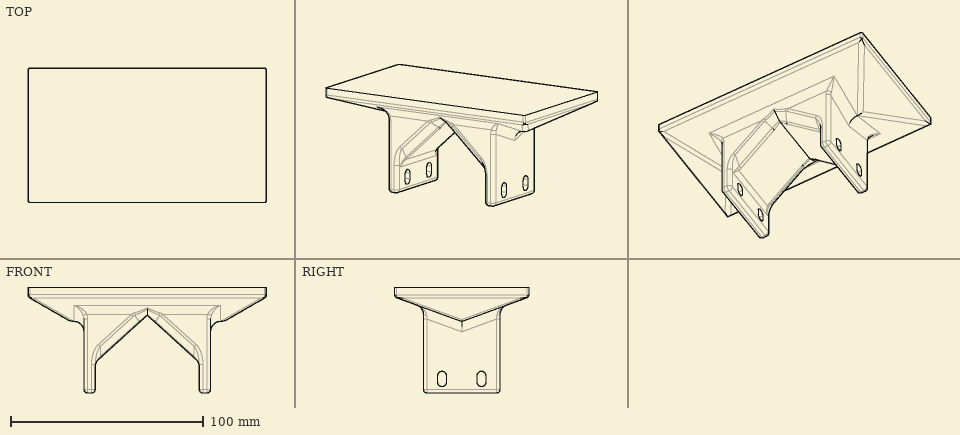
import cadquery as cq
import math

plate_length = 124.0
plate_width = 70.0
rim_thickness = 5.0
total_height = 55.0
corner_radius = 1.0
rim_radius = 2.0
hip_radius = 5.0
side_slope = math.radians(20.0)
end_slope = math.radians(30.0)

leg_span = 66.0
leg_width = 40.0
leg_thickness = 6.0
root_radius = 5.0
edge_radius = 2.0

arch_spring_z = 16.0
arch_peak_z = 40.5
arch_chamfer = 5.0
arch_root_radius = 5.0
chamfer_peak_depth = 6.0
chamfer_peak_rise = 3.5
chamfer_bend_inset = 4.0
cutter_overshoot = 1.6
cutter_bottom = -5.0

slot_spacing = 20.5
slot_width = 4.6
slot_length = 7.8
slot_z = 7.4

tolerance = 0.1
slanted = 0.1
upright = 0.9

rim_z = total_height - rim_thickness
ridge_z = rim_z - plate_width / 2 * math.tan(side_slope)

leg_inner_x = -(leg_span / 2 - leg_thickness)
leg_face_y = -leg_width / 2
chamfer_y = leg_face_y + arch_chamfer
arch_pitch = (arch_peak_z - arch_spring_z) / -leg_inner_x
chamfer_rise = arch_chamfer * math.hypot(1, arch_pitch)

root_tangent_length = root_radius * math.tan((math.pi / 2 - side_slope) / 2)
face_top_z = rim_z - (plate_width / 2 + leg_face_y) * math.tan(side_slope) - root_tangent_length


def select_edges(part, test):
    """Edges whose centre and direction at mid-length satisfy the test."""
    edges = part.edges().vals()
    return part.newObject([e for e in edges if test(e.Center(), e.tangentAt(0.5))])


def gable_prism(plane, half_span, slope, half_length):
    """Prism whose underside is an upside-down gable."""
    return (
        cq.Workplane(plane)
        .polyline([
            (-half_span, total_height),
            (-half_span, rim_z),
            (0, rim_z - half_span * math.tan(slope)),
            (half_span, rim_z),
            (half_span, total_height),
        ])
        .close()
        .extrude(half_length, both=True)
    )


def round_eaves(prism):
    """Round the long edges where the upright sides meet the sloping underside."""

    def is_eave(centre, along):
        return abs(centre.z - rim_z) < tolerance and abs(along.z) < slanted

    return select_edges(prism, is_eave).fillet(rim_radius)


def make_plate():
    """Flat plate whose underside is an upside-down hipped roof."""
    slab = (
        cq.Workplane("XY", origin=(0, 0, ridge_z))
        .rect(plate_length, plate_width)
        .extrude(total_height - ridge_z)
        .edges("|Z")
        .fillet(corner_radius)
    )
    side_gable = gable_prism("YZ", plate_width / 2, side_slope, plate_length)
    end_gable = gable_prism("XZ", plate_length / 2, end_slope, plate_width)
    plate = slab.intersect(side_gable).intersect(end_gable)

    def is_hip(centre, along):
        runs_diagonally = min(abs(along.x), abs(along.y), abs(along.z)) > slanted
        return runs_diagonally and centre.z < rim_z - tolerance

    plate = select_edges(plate, is_hip).fillet(hip_radius)
    return plate.intersect(round_eaves(side_gable)).intersect(round_eaves(end_gable))


def add_leg_block(plate):
    """Block under the plate that the legs are cut from, blended into the roof."""
    block = (
        cq.Workplane("XY")
        .rect(leg_span, leg_width)
        .extrude(rim_z)
    )

    def is_root(centre, along):
        across_x = abs(centre.x) / (leg_span / 2)
        across_y = abs(centre.y) / (leg_width / 2)
        on_block_side = abs(max(across_x, across_y) - 1) < tolerance / leg_span
        return on_block_side and abs(along.z) < upright and ridge_z < centre.z < rim_z - tolerance

    part = select_edges(plate.union(block), is_root).fillet(root_radius)

    def is_corner(centre, along):
        return abs(along.z) > upright and centre.z < ridge_z

    return select_edges(part, is_corner).fillet(edge_radius)


def keep_quarter(part):
    """The quarter of the part at negative X and negative Y."""
    reach = plate_length
    quadrant = cq.Workplane("XY").box(reach, reach, reach, centered=False).translate((-reach, -reach, 0))
    return part.intersect(quadrant)


def flare_station(inner, outer):
    """Upright section from the arch edge out past the chamfer edge, open to below the legs."""
    start = cq.Vector(*inner)
    end = start + (cq.Vector(*outer) - start) * cutter_overshoot
    corners = [start, end, cq.Vector(end.x, end.y, cutter_bottom), cq.Vector(start.x, start.y, cutter_bottom)]
    return cq.Wire.makePolygon(corners, close=True)


def make_arch_cutter():
    """Quarter of the pointed arch, with its chamfered mouth and rounded springing."""
    arch = (
        cq.Workplane("XZ")
        .polyline([
            (leg_inner_x, cutter_bottom),
            (leg_inner_x, arch_spring_z),
            (0, arch_peak_z),
            (0, cutter_bottom),
        ])
        .close()
        .extrude(-chamfer_y)
    )
    bend_inner_z = arch_peak_z - chamfer_bend_inset * arch_pitch
    bend_outer_x = (face_top_z - chamfer_rise - arch_peak_z) / arch_pitch
    springing = flare_station(
        (leg_inner_x, chamfer_y, arch_spring_z),
        (leg_inner_x, leg_face_y, arch_spring_z + chamfer_rise),
    )
    bend = flare_station(
        (-chamfer_bend_inset, chamfer_y, bend_inner_z),
        (bend_outer_x, leg_face_y, face_top_z),
    )
    peak = flare_station(
        (0, chamfer_y, arch_peak_z),
        (0, chamfer_y - chamfer_peak_depth, arch_peak_z + chamfer_peak_rise),
    )
    cutter = arch
    for first, second in ((springing, bend), (bend, peak)):
        cutter = cutter.union(cq.Workplane(cq.Solid.makeLoft([first, second], True)))

    def is_springing(centre, along):
        is_upright = abs(along.z) > upright
        return abs(centre.x - leg_inner_x) < tolerance and centre.z > arch_spring_z / 2 and not is_upright

    return select_edges(cutter, is_springing).fillet(arch_root_radius)


def round_arch_edges(quarter):
    """Round both edges of the arch chamfer and the inner upright edge of the leg."""

    def is_arch_edge(centre, along):
        if not leg_inner_x - tolerance < centre.x < -tolerance:
            return False
        on_leg_face = centre.y < leg_face_y + tolerance and abs(along.z) > slanted
        on_chamfer_foot = abs(centre.y - chamfer_y) < tolerance and abs(along.x) > slanted
        return on_leg_face or on_chamfer_foot

    return select_edges(quarter, is_arch_edge).fillet(edge_radius)


def round_foot(quarter):
    """Round the bottom edges of the leg."""

    def is_foot_edge(centre, along):
        return abs(centre.z) < tolerance and centre.y < -tolerance

    return select_edges(quarter, is_foot_edge).fillet(edge_radius)


def cut_slots(part):
    """Two upright slots through each leg."""
    slots = (
        cq.Workplane("YZ", origin=(0, 0, slot_z))
        .pushPoints([(-slot_spacing / 2, 0), (slot_spacing / 2, 0)])
        .slot2D(slot_length, slot_width, 90)
        .extrude(leg_span, both=True)
    )
    return part.cut(slots)


quarter = keep_quarter(add_leg_block(make_plate())).cut(make_arch_cutter())
quarter = round_foot(round_arch_edges(quarter))
half = quarter.union(quarter.mirror("XZ"))
whole = half.union(half.mirror("YZ")).clean()
result = cut_slots(whole)